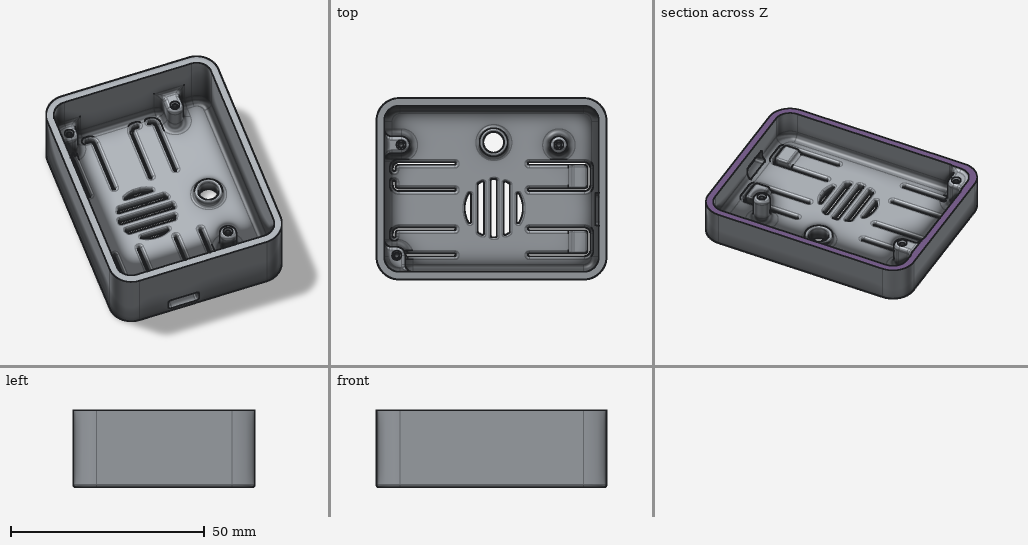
import cadquery as cq
import math

TOLERANCE = 0.05

LENGTH = 59.5
WIDTH = 46.96
HEIGHT = 20.0
WALL = 2.0
FLOOR = 2.0
OUTER_RADIUS = 6.0
INNER_RADIUS = OUTER_RADIUS - WALL
BOTTOM_ROUND = 0.8
CAVITY_ROUND = 2.0
INNER_X = LENGTH / 2 - WALL
INNER_Y = WIDTH / 2 - WALL

POST_RADIUS = 4.4 / 2
POST_TOP = 9.5
POST_TOP_ROUND = 1.0
POST_WALL_ROUND = 1.2
FREE_POST = (17.35, 11.35)
SIDE_POST = (-23.35, 11.35)
CORNER_POST = (-24.5, -17.2)
SCREW_RADIUS = 1.4 / 2
SCREW_LEAD_IN = 0.5
SCREW_DEPTH = 5.0
DRILL_TIP_ANGLE = 118.0

COLLAR_CENTER = (0.55, 12.0)
COLLAR_RADIUS = 7.3 / 2
COLLAR_BORE_RADIUS = 5.3 / 2
COLLAR_TOP = 3.85
COLLAR_BASE_ROUND = 1.0

GRILLE_CENTER = (0.6, -5.0)
GRILLE_DIAMETER = 15.0
GRILLE_SLOT_WIDTH = 1.5
GRILLE_CORNER = 0.3
GRILLE_PITCH = 3.35
GRILLE_SLOT_COUNT = 5
GRILLE_ROUND = 0.55

SLOT_WIDTH = 0.6
SLOT_ROUND = 0.85
SLOT_BEND = 1.2
TONGUE_PAIRS = ((6.52, -0.25), (-10.35, -17.08))
TONGUE_ROOT_RIGHT = 9.7
TONGUE_TIP_RIGHT = 25.17
TONGUE_ROOT_LEFT = -9.55
TONGUE_TIP_LEFT = -25.15
LEFT_GAP_TOP = 4.9
LEFT_GAP_BOTTOM = 1.8
CORNER_SLOT_END_Y = -12.3
CORNER_SLOT_START_X = -21.9
SLOT_CUT_TOP = FLOOR + CAVITY_ROUND
FLARE_CLEARANCE = 0.5

PAD_RISE = 1.0
PAD_START = 19.8
PAD_FOOT_ROUND = 1.0
PAD_CREST_ROUND = 0.5
PAD_EDGE_ROUND = 0.5

WINDOW_START_X = 26.8
WINDOW_CENTER_Y = -5.25
WINDOW_WIDTH = 8.5
WINDOW_BOTTOM = 1.75
WINDOW_TOP = 5.65
WINDOW_CORNER = 1.0


def rounded_block(length, width, bottom, top, radius):
    block = cq.Workplane("XY").workplane(offset=bottom).rect(length, width).extrude(top - bottom)
    return block.edges("|Z").fillet(radius)


def prism_between(x0, x1, y0, y1):
    """Upright block from the floor to the post tops."""
    block = cq.Workplane("XY").workplane(offset=FLOOR).rect(x1 - x0, y1 - y0).extrude(POST_TOP - FLOOR)
    return block.translate(((x0 + x1) / 2, (y0 + y1) / 2, 0))


def post_cylinder(center):
    base = cq.Workplane("XY").workplane(offset=FLOOR).center(*center)
    return base.circle(POST_RADIUS).extrude(POST_TOP - FLOOR)


def side_post():
    x, y = SIDE_POST
    web = prism_between(-INNER_X - WALL / 2, x, y - POST_RADIUS, y + POST_RADIUS)
    return post_cylinder(SIDE_POST).union(web)


def corner_post():
    x, y = CORNER_POST
    left = -INNER_X - WALL / 2
    front = -INNER_Y - WALL / 2
    web = prism_between(left, x, front, y + POST_RADIUS)
    web = web.union(prism_between(left, x + POST_RADIUS, front, y))
    return post_cylinder(CORNER_POST).union(web)


def lies_on_wall(edge):
    """True for the edges where a post runs into the inner side of a wall."""
    box = edge.BoundingBox()
    on_left = box.xmax < -INNER_X + TOLERANCE
    on_front = box.ymax < -INNER_Y + TOLERANCE
    reaches_both = box.xmin < TOLERANCE - INNER_X and box.ymin < TOLERANCE - INNER_Y
    in_corner = edge.geomType() == "CIRCLE" and reaches_both
    return on_left or on_front or in_corner


def post_top_edges(space):
    return [
        edge
        for edge in space.edges().vals()
        if abs(edge.BoundingBox().zmin - POST_TOP) < TOLERANCE
        and abs(edge.BoundingBox().zmax - POST_TOP) < TOLERANCE
    ]


def cavity():
    """Inner space of the box; its outer corners become the inner rounds of the part."""
    space = rounded_block(2 * INNER_X, 2 * INNER_Y, FLOOR, HEIGHT, INNER_RADIUS)
    space = space.cut(post_cylinder(FREE_POST)).cut(side_post()).cut(corner_post())
    joints = [
        edge
        for edge in space.edges("|Z").vals()
        if edge.BoundingBox().zmax < POST_TOP + TOLERANCE and lies_on_wall(edge)
    ]
    space = space.newObject(joints).fillet(CAVITY_ROUND)
    space = space.faces("<Z").edges().fillet(CAVITY_ROUND)
    on_wall = [edge for edge in post_top_edges(space) if lies_on_wall(edge)]
    space = space.newObject(on_wall).fillet(POST_WALL_ROUND)
    free = [edge for edge in post_top_edges(space) if not lies_on_wall(edge)]
    return space.newObject(free).fillet(POST_TOP_ROUND)


def screw_hole(center):
    """Blind pilot hole with a drill tip and a conical lead-in."""
    mouth = SCREW_RADIUS + SCREW_LEAD_IN
    bottom = POST_TOP - SCREW_DEPTH
    tip = bottom - SCREW_RADIUS / math.tan(math.radians(DRILL_TIP_ANGLE / 2))
    profile = (
        cq.Workplane("XZ")
        .moveTo(0, tip)
        .lineTo(SCREW_RADIUS, bottom)
        .lineTo(SCREW_RADIUS, POST_TOP - SCREW_LEAD_IN)
        .lineTo(mouth, POST_TOP)
        .lineTo(0, POST_TOP)
        .close()
    )
    hole = profile.revolve(360, (0, 0), (0, 1))
    return hole.translate((center[0], center[1], 0))


def collar():
    """Raised ring with a fully rounded rim and a flared foot, before its bore is cut."""
    foot = COLLAR_RADIUS + COLLAR_BASE_ROUND
    rim_round = (COLLAR_RADIUS - COLLAR_BORE_RADIUS) / 2
    shoulder = COLLAR_TOP - rim_round
    profile = (
        cq.Workplane("XZ")
        .lineTo(foot, 0)
        .lineTo(foot, FLOOR)
        .radiusArc((COLLAR_RADIUS, FLOOR + COLLAR_BASE_ROUND), COLLAR_BASE_ROUND)
        .lineTo(COLLAR_RADIUS, shoulder)
        .threePointArc((COLLAR_RADIUS - rim_round, COLLAR_TOP), (COLLAR_BORE_RADIUS, shoulder))
        .lineTo(0, shoulder)
        .close()
    )
    ring = profile.revolve(360, (0, 0), (0, 1))
    return ring.translate((COLLAR_CENTER[0], COLLAR_CENTER[1], 0))


def flared(slot, lip_round):
    """Widen a through-slot cutter so that its edge at the floor surface is rounded over."""
    plate = cq.Workplane("XY").rect(LENGTH, WIDTH).extrude(FLOOR)
    lip = plate.cut(slot)
    edges = [
        edge
        for edge in lip.faces(">Z").edges().vals()
        if edge.BoundingBox().xmin > TOLERANCE - LENGTH / 2
        and edge.BoundingBox().xmax < LENGTH / 2 - TOLERANCE
        and abs(edge.Center().y) < WIDTH / 2 - TOLERANCE
    ]
    lip = lip.newObject(edges).fillet(lip_round)
    opening = plate.cut(lip)
    mouth = opening.faces(">Z").wires().toPending().workplane().extrude(FLARE_CLEARANCE, combine=False)
    return slot.union(opening).union(mouth)


def narrow_slot(path):
    """Round-ended slot of constant width along an open path."""
    return path.offset2D(SLOT_WIDTH / 2).extrude(SLOT_CUT_TOP)


def right_tongue_slot(y_high, y_low):
    bend = TONGUE_TIP_RIGHT - SLOT_BEND
    path = (
        cq.Workplane("XY")
        .moveTo(TONGUE_ROOT_RIGHT, y_high)
        .lineTo(bend, y_high)
        .radiusArc((TONGUE_TIP_RIGHT, y_high - SLOT_BEND), SLOT_BEND)
        .lineTo(TONGUE_TIP_RIGHT, y_low + SLOT_BEND)
        .radiusArc((bend, y_low), SLOT_BEND)
        .lineTo(TONGUE_ROOT_RIGHT, y_low)
    )
    return narrow_slot(path)


def left_hook_slot(y_root, y_end):
    """Straight slot that turns along the left wall and ends at y_end."""
    turn = math.copysign(SLOT_BEND, y_end - y_root)
    path = (
        cq.Workplane("XY")
        .moveTo(TONGUE_ROOT_LEFT, y_root)
        .lineTo(TONGUE_TIP_LEFT + SLOT_BEND, y_root)
        .radiusArc((TONGUE_TIP_LEFT, y_root + turn), turn)
        .lineTo(TONGUE_TIP_LEFT, y_end)
    )
    return narrow_slot(path)


def corner_slot(y):
    """Straight slot that stops beside the corner post."""
    length = TONGUE_ROOT_LEFT - CORNER_SLOT_START_X + SLOT_WIDTH
    middle = (TONGUE_ROOT_LEFT + CORNER_SLOT_START_X) / 2
    return cq.Workplane("XY").center(middle, y).slot2D(length, SLOT_WIDTH).extrude(SLOT_CUT_TOP)


def tongue_slots():
    (upper_high, upper_low), (lower_high, lower_low) = TONGUE_PAIRS
    slots = [right_tongue_slot(high, low) for high, low in TONGUE_PAIRS]
    slots.append(left_hook_slot(upper_high, LEFT_GAP_TOP))
    slots.append(left_hook_slot(upper_low, LEFT_GAP_BOTTOM))
    slots.append(left_hook_slot(lower_high, CORNER_SLOT_END_Y))
    slots.append(corner_slot(lower_low))
    return [flared(slot, SLOT_ROUND) for slot in slots]


def button_pad(y_high, y_low):
    """Raised pad filling the tongue tip, with a smooth ramp on its root side."""
    half_slot = SLOT_WIDTH / 2
    tip = TONGUE_TIP_RIGHT - half_slot
    top = FLOOR + PAD_RISE
    radii = PAD_FOOT_ROUND + PAD_CREST_ROUND
    ramp_angle = math.acos(1 - PAD_RISE / radii)
    foot_x = PAD_START + PAD_FOOT_ROUND * math.sin(ramp_angle)
    foot_z = FLOOR + PAD_FOOT_ROUND * (1 - math.cos(ramp_angle))
    crest_x = PAD_START + radii * math.sin(ramp_angle)
    profile = (
        cq.Workplane("XZ", origin=(0, y_high - half_slot, 0))
        .moveTo(PAD_START, 0)
        .lineTo(PAD_START, FLOOR)
        .radiusArc((foot_x, foot_z), -PAD_FOOT_ROUND)
        .radiusArc((crest_x, top), PAD_CREST_ROUND)
        .lineTo(tip, top)
        .lineTo(tip, 0)
        .close()
    )
    pad = profile.extrude(y_high - y_low - SLOT_WIDTH)
    pad = pad.edges("|Z and >X").fillet(SLOT_BEND - half_slot)
    rim = [
        edge
        for edge in pad.faces(">Z").edges().vals()
        if edge.Center().x > crest_x + TOLERANCE
    ]
    return pad.newObject(rim).fillet(PAD_EDGE_ROUND)


def grille_slots():
    x, y = GRILLE_CENTER
    disc = cq.Workplane("XY").center(x, y).circle(GRILLE_DIAMETER / 2).extrude(FLOOR)
    slots = []
    for index in range(GRILLE_SLOT_COUNT):
        offset = (index - (GRILLE_SLOT_COUNT - 1) / 2) * GRILLE_PITCH
        bar = cq.Workplane("XY").center(x + offset, y).rect(GRILLE_SLOT_WIDTH, GRILLE_DIAMETER).extrude(FLOOR)
        slot = disc.intersect(bar).edges("|Z").fillet(GRILLE_CORNER)
        slots.append(flared(slot, GRILLE_ROUND))
    return slots


def window():
    """Rounded opening through the +X wall, sunk slightly below the floor surface."""
    depth = LENGTH / 2 - WINDOW_START_X
    height = WINDOW_TOP - WINDOW_BOTTOM
    middle_z = (WINDOW_TOP + WINDOW_BOTTOM) / 2
    opening = cq.Workplane("XY").box(depth, WINDOW_WIDTH, height)
    opening = opening.edges("|X").fillet(WINDOW_CORNER)
    return opening.translate((WINDOW_START_X + depth / 2, WINDOW_CENTER_Y, middle_z))


def build():
    body = rounded_block(LENGTH, WIDTH, 0, HEIGHT, OUTER_RADIUS)
    body = body.faces("<Z").edges().fillet(BOTTOM_ROUND)
    body = body.cut(cavity())
    body = body.cut(window())
    body = body.union(collar())
    body = body.cut(cq.Workplane("XY").center(*COLLAR_CENTER).circle(COLLAR_BORE_RADIUS).extrude(COLLAR_TOP))
    for center in (FREE_POST, SIDE_POST, CORNER_POST):
        body = body.cut(screw_hole(center))
    for cutter in tongue_slots() + grille_slots():
        body = body.cut(cutter)
    for pair in TONGUE_PAIRS:
        body = body.union(button_pad(*pair))
    return body


result = build()